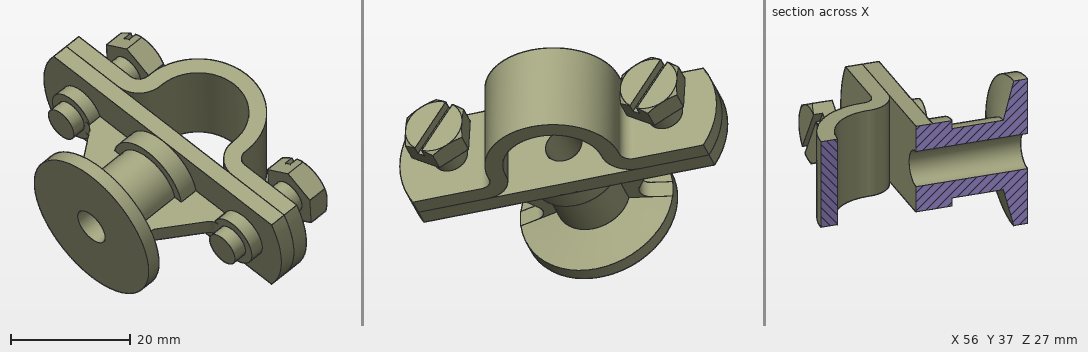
import cadquery as cq
import math


length = 56.0
height = 16.0
end_radius = 15.0
plate_thickness = 3.0
strap_thickness = 3.0
bolt_offset = 19.0

collar_radius = 8.0
collar_end = -6.5
neck_radius = 6.5
disk_radius = 13.5
disk_end = -20.0
disk_thickness = 2.5
cone_angle = 15.0
hub_bore = 6.47
disk_back = disk_end + disk_thickness
cone_rise = (disk_radius - neck_radius) * math.tan(math.radians(cone_angle))
cone_start = disk_back + cone_rise

boss_diameter = 9.0
boss_end = -5.5
web_thickness = 3.0
web_angle = 35.0
web_fillet = 2.0

loop_outer_radius = 11.5
loop_inner_radius = loop_outer_radius - strap_thickness
loop_center = 5.5
bend_inner_radius = 2.0
bend_outer_radius = bend_inner_radius + strap_thickness
bend_x = loop_outer_radius + bend_inner_radius

screw_diameter = 6.0
screw_end = -8.0
head_base = 8.0
head_height = 4.0
head_across_flats = 10.0
hexagon_half_angle = 30.0
head_turn = 3.0
slot_width = 1.4
slot_depth = 1.6
head_chamfer_angle = 30.0
head_top = head_base + head_height
head_across_corners = head_across_flats / math.cos(math.radians(hexagon_half_angle))


def plane_at(y):
    """XZ work plane at the given Y; a positive extrusion runs toward -Y."""
    return cq.Workplane("XZ", origin=(0, y, 0))


def cylinder(x, diameter, y_start, y_end):
    """Cylinder parallel to Y."""
    return plane_at(y_start).center(x, 0).circle(diameter / 2).extrude(y_start - y_end)


def outline_block(y_start, y_end):
    """Straight-sided bar with bowed ends."""
    half_length = length / 2
    half_height = height / 2
    end_bow = end_radius - math.sqrt(end_radius**2 - half_height**2)
    corner_x = half_length - end_bow
    return (
        plane_at(y_start)
        .moveTo(-corner_x, -half_height)
        .lineTo(corner_x, -half_height)
        .threePointArc((half_length, 0), (corner_x, half_height))
        .lineTo(-corner_x, half_height)
        .threePointArc((-half_length, 0), (-corner_x, -half_height))
        .close()
        .extrude(y_start - y_end)
    )


def bolt_holes(y_start, y_end):
    """The two bolt holes as cutting cylinders."""
    left = cylinder(-bolt_offset, screw_diameter, y_start, y_end)
    return left.union(cylinder(bolt_offset, screw_diameter, y_start, y_end))


def make_hub():
    """Collar, neck, cone and disk turned about the Y axis."""
    return (
        cq.Workplane("XY")
        .moveTo(0, 0)
        .lineTo(0, disk_end)
        .lineTo(disk_radius, disk_end)
        .lineTo(disk_radius, disk_back)
        .lineTo(neck_radius, cone_start)
        .lineTo(neck_radius, collar_end)
        .lineTo(collar_radius, collar_end)
        .lineTo(collar_radius, 0)
        .close()
        .revolve(360, (0, 0, 0), (0, 1, 0))
    )


def make_web(side):
    """Web from a boss to the hub, on the side given by -1 or 1."""
    boss_edge = bolt_offset - boss_diameter / 2
    foot_x = bolt_offset - screw_diameter / 2
    edge_slope = math.tan(math.radians(web_angle))
    cone_slope = math.tan(math.radians(cone_angle))
    waist_x = (boss_edge - edge_slope * (boss_end - disk_back - disk_radius * cone_slope)) / (
        1 + edge_slope * cone_slope
    )
    waist_y = disk_back + (disk_radius - waist_x) * cone_slope
    web = (
        cq.Workplane("XY")
        .moveTo(0, 0)
        .lineTo(side * foot_x, 0)
        .lineTo(side * foot_x, boss_end)
        .lineTo(side * boss_edge, boss_end)
        .lineTo(side * waist_x, waist_y)
        .lineTo(side * disk_radius, disk_back)
        .lineTo(0, disk_back)
        .close()
        .extrude(web_thickness / 2, both=True)
    )
    for x, y in ((boss_edge, boss_end), (waist_x, waist_y)):
        corner = cq.selectors.NearestToPointSelector((side * x, y, 0))
        web = web.edges("|Z").edges(corner).fillet(web_fillet)
    return web


def make_bracket():
    body = outline_block(0, -plate_thickness).union(make_hub())
    for side in (-1, 1):
        body = body.union(cylinder(side * bolt_offset, boss_diameter, 0, boss_end))
        body = body.union(make_web(side))
    body = body.cut(bolt_holes(0, boss_end))
    return body.cut(cylinder(0, hub_bore, 0, disk_end))


def make_strap():
    loop_top_inner = loop_center + loop_inner_radius
    loop_top_outer = loop_center + loop_outer_radius
    half_length = length / 2
    bend_center_y = bend_outer_radius
    diagonal = math.sqrt(0.5)
    outer_mid_x = bend_x - bend_outer_radius * diagonal
    outer_mid_y = bend_center_y - bend_outer_radius * diagonal
    inner_mid_x = bend_x - bend_inner_radius * diagonal
    inner_mid_y = bend_center_y - bend_inner_radius * diagonal
    profile = (
        cq.Workplane("XY")
        .moveTo(-half_length, 0)
        .lineTo(-bend_x, 0)
        .threePointArc((-outer_mid_x, outer_mid_y), (-loop_inner_radius, bend_center_y))
        .lineTo(-loop_inner_radius, loop_center)
        .threePointArc((0, loop_top_inner), (loop_inner_radius, loop_center))
        .lineTo(loop_inner_radius, bend_center_y)
        .threePointArc((outer_mid_x, outer_mid_y), (bend_x, 0))
        .lineTo(half_length, 0)
        .lineTo(half_length, strap_thickness)
        .lineTo(bend_x, strap_thickness)
        .threePointArc((inner_mid_x, inner_mid_y), (loop_outer_radius, bend_center_y))
        .lineTo(loop_outer_radius, loop_center)
        .threePointArc((0, loop_top_outer), (-loop_outer_radius, loop_center))
        .lineTo(-loop_outer_radius, bend_center_y)
        .threePointArc((-inner_mid_x, inner_mid_y), (-bend_x, strap_thickness))
        .lineTo(-half_length, strap_thickness)
        .close()
        .extrude(height / 2, both=True)
    )
    bowed = profile.intersect(outline_block(0, loop_top_outer))
    return bowed.cut(bolt_holes(0, strap_thickness))


def make_head():
    """Slotted hexagon head centered on the Y axis, chamfered at its outer face."""
    hexagon = plane_at(head_base).polygon(6, head_across_corners).extrude(-head_height)
    corner_radius = head_across_corners / 2
    flat_radius = head_across_flats / 2
    chamfer_drop = (corner_radius - flat_radius) * math.tan(math.radians(head_chamfer_angle))
    chamfer_envelope = (
        cq.Workplane("XY")
        .moveTo(0, head_base)
        .lineTo(corner_radius, head_base)
        .lineTo(corner_radius, head_top - chamfer_drop)
        .lineTo(flat_radius, head_top)
        .lineTo(0, head_top)
        .close()
        .revolve(360, (0, 0, 0), (0, 1, 0))
    )
    slot = plane_at(head_top).rect(slot_width, head_across_corners).extrude(slot_depth)
    head = hexagon.intersect(chamfer_envelope).cut(slot)
    return head.rotate((0, 0, 0), (0, 1, 0), -(hexagon_half_angle + head_turn))


def make_screw(x):
    shank = cylinder(x, screw_diameter, screw_end, head_base)
    return shank.union(make_head().translate((x, 0, 0)))


bracket = make_bracket()
strap = make_strap()
screws = [make_screw(side * bolt_offset) for side in (-1, 1)]

result = cq.Compound.makeCompound([bracket.val(), strap.val(), *[screw.val() for screw in screws]])